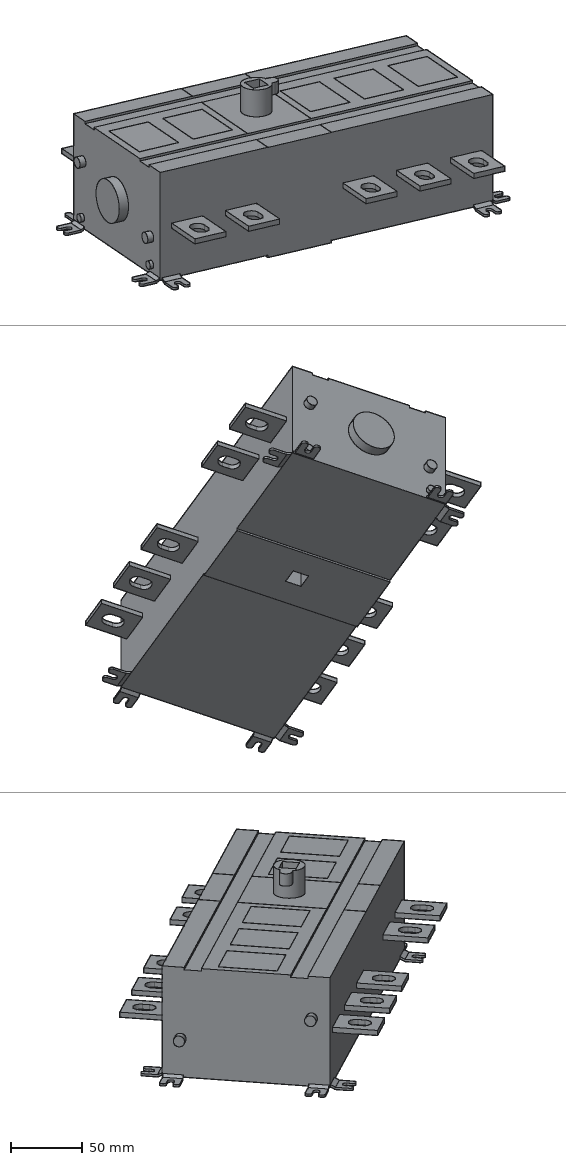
import cadquery as cq

body_width = 120.5
body_length = 271.8
body_top = 85.0
body_half_width = body_width / 2
body_half_length = body_length / 2

mechanism_length = 52.0
pole_count = 5
poles_behind_mechanism = 3
pole_pitch = (body_length - mechanism_length) / pole_count
mechanism_y = body_half_length - poles_behind_mechanism * pole_pitch - mechanism_length / 2

floor_gap = 1.8

groove_inner_x = 32.0
groove_outer_x = 44.5
groove_depth = 1.8
window_width = 42.3
window_length = 32.0
seam_depth = 0.15

axis_height = 42.0
terminal_span = 185.0
terminal_width = 25.5
terminal_thickness = 4.0
slot_length = 16.3
slot_width = 11.2
slot_x = 77.3

shaft_top = 105.5
shaft_diameter = 22.3
shaft_square = 12.0
pointer_radius = 4.5
pointer_offset = 12.7
pointer_height = 9.5

cover_diameter = 32.3
cover_height = 7.5
rod_diameter = 8.2
rod_x = 47.0
rod_offset_z = 11.2
rod_front_height = 4.8
rod_back_height = 5.5
screw_diameter = 6.0
screw_x = 48.0
screw_z = 9.7
screw_height = 2.7

foot_width = 14.5
foot_thickness = 1.8
foot_slot_width = 4.8
foot_slot_depth = 8.8
foot_tip_fillet = 2.0
end_foot_reach = 15.0
end_foot_bend = 2.7
end_foot_x = 52.2
side_foot_reach = 16.0
side_foot_bend = 3.5
side_foot_y = 127.0


def box(size_x, size_y, z_low, z_high, x=0, y=0):
    """Block centred on (x, y) between two heights."""
    block = cq.Workplane("XY").box(size_x, size_y, z_high - z_low, centered=(True, True, False))
    return block.translate((x, y, z_low))


def rod_along_y(diameter, x, z, y_low, y_high):
    """Round rod parallel to Y."""
    rod = cq.Workplane("XZ", origin=(x, y_high, z)).circle(diameter / 2)
    return rod.extrude(y_high - y_low)


def pole_centers():
    """Y of every pole, from the back end to the front end."""
    centers = []
    for index in range(pole_count):
        y = body_half_length - (index + 0.5) * pole_pitch
        if index >= poles_behind_mechanism:
            y -= mechanism_length
        centers.append(y)
    return centers


def make_housing():
    housing = box(body_width, body_length, floor_gap, body_top)
    housing = housing.union(box(body_width, mechanism_length, 0, body_top, y=mechanism_y))

    seam_floor = body_top - seam_depth
    housing = housing.cut(box(body_width, mechanism_length, seam_floor, body_top, y=mechanism_y))
    for y in pole_centers():
        housing = housing.cut(box(window_width, window_length, seam_floor, body_top, y=y))

    groove_width = groove_outer_x - groove_inner_x
    groove_x = (groove_outer_x + groove_inner_x) / 2
    for side in (-1, 1):
        groove = box(groove_width, body_length, body_top - groove_depth, body_top, x=side * groove_x)
        housing = housing.cut(groove)
    return housing


def make_terminal_bar(y):
    """Flat bar through the housing with a slotted tab on each side."""
    z_low = axis_height - terminal_thickness / 2
    z_high = axis_height + terminal_thickness / 2
    bar = box(terminal_span, terminal_width, z_low, z_high, y=y)
    slots = (
        cq.Workplane("XY", origin=(0, y, z_low))
        .pushPoints([(-slot_x, 0), (slot_x, 0)])
        .slot2D(slot_length, slot_width)
        .extrude(terminal_thickness)
    )
    return bar.cut(slots)


def make_shaft():
    """Round shaft with a rounded pointer on its back side."""
    base_z = body_top - seam_depth
    shaft = (
        cq.Workplane("XY", origin=(0, mechanism_y, base_z))
        .circle(shaft_diameter / 2)
        .extrude(shaft_top - base_z)
    )
    pointer_low = shaft_top - pointer_height
    neck = box(
        2 * pointer_radius, pointer_offset, pointer_low, shaft_top,
        y=mechanism_y + pointer_offset / 2,
    )
    nose = (
        cq.Workplane("XY", origin=(0, mechanism_y + pointer_offset, pointer_low))
        .circle(pointer_radius)
        .extrude(pointer_height)
    )
    return shaft.union(neck).union(nose)


def make_end_details():
    front_y = -body_half_length
    details = rod_along_y(cover_diameter, 0, axis_height, front_y - cover_height, 0)
    for side in (-1, 1):
        rod_z = axis_height - side * rod_offset_z
        rod_front = front_y - rod_front_height
        rod_back = body_half_length + rod_back_height
        details = details.union(rod_along_y(rod_diameter, side * rod_x, rod_z, rod_front, rod_back))
        details = details.union(
            rod_along_y(screw_diameter, side * screw_x, screw_z, front_y - screw_height, 0)
        )
    return details


def make_foot(reach, bend):
    """Forked foot growing along +X from a wall at X = 0, stepped down to Z = 0."""
    foot = (
        cq.Workplane("XZ")
        .moveTo(0, foot_thickness)
        .lineTo(bend, 0)
        .lineTo(reach, 0)
        .lineTo(reach, foot_thickness)
        .lineTo(bend, foot_thickness)
        .lineTo(0, 2 * foot_thickness)
        .close()
        .extrude(foot_width / 2, both=True)
    )
    slot_end_x = reach - foot_slot_depth + foot_slot_width / 2
    fork_length = reach - slot_end_x
    fork_slot = box(
        fork_length, foot_slot_width, 0, foot_thickness, x=slot_end_x + fork_length / 2
    )
    slot_end = (
        cq.Workplane("XY", origin=(slot_end_x, 0, 0)).circle(foot_slot_width / 2).extrude(foot_thickness)
    )
    foot = foot.cut(fork_slot).cut(slot_end)
    return foot.faces(">X").edges("|Z").fillet(foot_tip_fillet)


def make_feet():
    """One foot on each end wall and one on each side wall at every corner."""
    end_foot = make_foot(end_foot_reach, end_foot_bend)
    side_foot = make_foot(side_foot_reach, side_foot_bend)
    origin = (0, 0, 0)
    up = (0, 0, 1)
    feet = []
    for x_side in (-1, 1):
        side_angle = 0 if x_side > 0 else 180
        for y_side in (-1, 1):
            end_position = (x_side * end_foot_x, y_side * body_half_length, 0)
            feet.append(end_foot.rotate(origin, up, 90 * y_side).translate(end_position))
            side_position = (x_side * body_half_width, y_side * side_foot_y, 0)
            feet.append(side_foot.rotate(origin, up, side_angle).translate(side_position))
    return feet


result = make_housing()
for pole_y in pole_centers():
    result = result.union(make_terminal_bar(pole_y))
result = result.union(make_shaft()).union(make_end_details())
for foot in make_feet():
    result = result.union(foot)

result = result.cut(box(shaft_square, shaft_square, 0, shaft_top, y=mechanism_y))